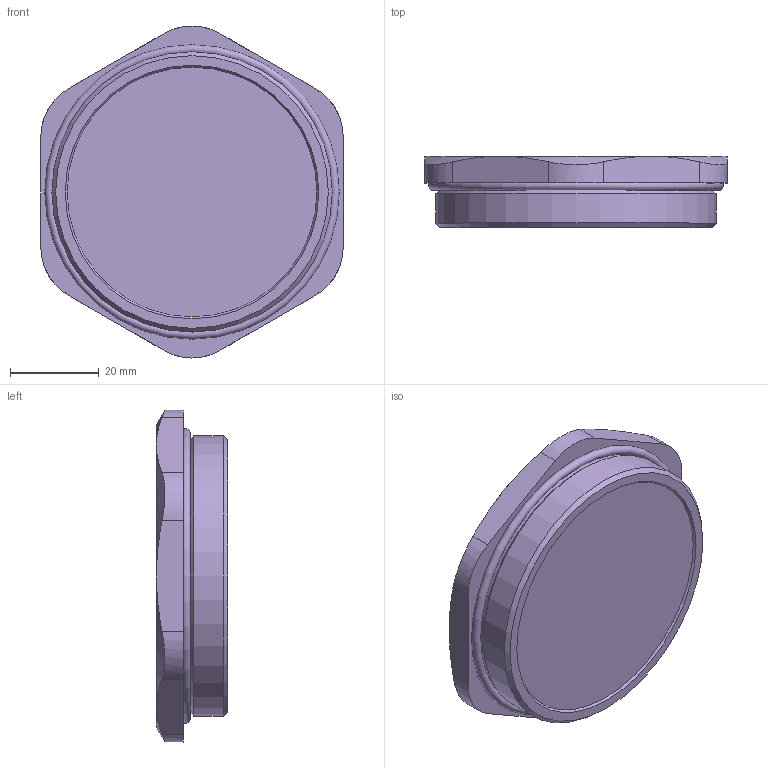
import cadquery as cq
import math


across_flats = 68.0
side_count = 6
half_side_angle = 180 / side_count
head_thickness = 6.0
corner_radius = 12.5
head_chamfer_angle = 30.0
head_chamfer_start_radius = across_flats / 2

plug_diameter = 63.0
plug_length = 10.0
chamfer_small_diameter = 61.3
end_chamfer_length = 1.0
rear_chamfer_length = 0.85
neck_length = 1.55

ring_outer_diameter = 66.2
ring_section_radius = 1.0
ring_overhang = 1.6

recess_mouth_diameter = 57.0
recess_floor_diameter = 56.2
recess_depth = 0.5


def revolve_about_y(profile):
    """Revolve a closed (radius, y) profile a full turn about the Y axis."""
    return profile.close().revolve(360, (0, 0, 0), (0, 1, 0))


def make_head():
    """Hexagonal prism with rounded corners and a conical chamfer on its outer face."""
    across_corners = across_flats / math.cos(math.radians(half_side_angle))
    prism = (
        cq.Workplane("XZ")
        .polygon(side_count, across_corners)
        .extrude(-head_thickness)
        .rotate((0, 0, 0), (0, 1, 0), half_side_angle)
        .edges("|Y")
        .fillet(corner_radius)
    )
    envelope_radius = across_corners / 2
    chamfer_drop = (envelope_radius - head_chamfer_start_radius) * math.tan(math.radians(head_chamfer_angle))
    envelope = revolve_about_y(
        cq.Workplane("XY")
        .moveTo(0, 0)
        .lineTo(envelope_radius, 0)
        .lineTo(envelope_radius, head_thickness - chamfer_drop)
        .lineTo(head_chamfer_start_radius, head_thickness)
        .lineTo(0, head_thickness)
    )
    return prism.intersect(envelope)


def make_plug():
    """Round body with a neck next to the head, a chamfer at each end and the end recess."""
    plug_radius = plug_diameter / 2
    small_radius = chamfer_small_diameter / 2
    return revolve_about_y(
        cq.Workplane("XY")
        .moveTo(0, 0)
        .lineTo(small_radius, 0)
        .lineTo(small_radius, -neck_length)
        .lineTo(plug_radius, -neck_length - rear_chamfer_length)
        .lineTo(plug_radius, end_chamfer_length - plug_length)
        .lineTo(small_radius, -plug_length)
        .lineTo(recess_mouth_diameter / 2, -plug_length)
        .lineTo(recess_floor_diameter / 2, recess_depth - plug_length)
        .lineTo(0, recess_depth - plug_length)
    )


def make_ring():
    """Round-section ring, partly sunk into the head's seat face."""
    centre_radius = ring_outer_diameter / 2 - ring_section_radius
    centre_y = ring_section_radius - ring_overhang
    return (
        cq.Workplane("XY")
        .transformed(offset=(centre_radius, centre_y, 0), rotate=(0, 0, 180))
        .circle(ring_section_radius)
        .revolve(360, (centre_radius, 0, 0), (centre_radius, 1, 0))
    )


result = make_head().union(make_plug()).union(make_ring())